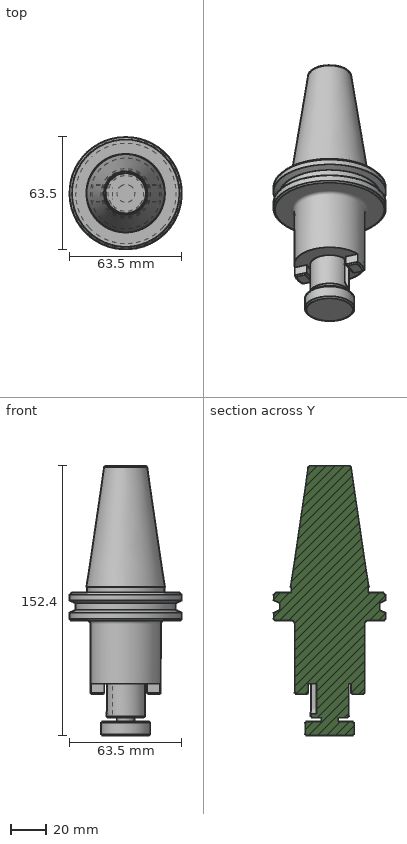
import cadquery as cq

total_height = 152.4

taper_length = 68.5
gauge_radius = 22.3
taper_ratio = 7 / 24
taper_tip_radius = gauge_radius - taper_length * taper_ratio / 2
taper_tip_chamfer = 0.9
gauge_height = total_height - taper_length
relief_radius = 22.0
relief_step = 0.3

flange_diameter = 63.5
flange_radius = flange_diameter / 2
flange_top = 81.0
flange_bottom = 64.9
flange_top_chamfer = 1.5
flange_bottom_chamfer = 0.9
groove_floor_radius = 28.3
groove_floor_top = 74.7
groove_floor_bottom = 71.0
groove_flank_height = 1.7

body_radius = 20.0
body_bottom = 29.3
body_fillet = 1.8
pilot_radius = 11.0
pilot_bottom = 10.0
pilot_chamfer = 0.9
screw_radius = 5.0
head_radius = 14.0
head_height = 8.1
head_chamfer = 0.9

tenon_width = 9.9
tenon_bottom = 23.3
tenon_inner_radius = 12.0
tenon_chamfer = 0.9
tenon_side_chamfer = 0.5

keyway_width = 6.1
keyway_bottom = 12.5
keyway_depth = 3.5


def revolve_about_z(profile):
    """Turn a closed half profile, drawn in the YZ plane, around the Z axis."""
    return profile.revolve(360, (0, 0, 0), (0, 1, 0))


def make_pilot_and_screw():
    """Screw head, neck and pilot, ending at the body face."""
    profile = (
        cq.Workplane("YZ")
        .lineTo(head_radius - head_chamfer, 0)
        .lineTo(head_radius, head_chamfer)
        .lineTo(head_radius, head_height - head_chamfer)
        .lineTo(head_radius - head_chamfer, head_height)
        .lineTo(screw_radius, head_height)
        .lineTo(screw_radius, pilot_bottom)
        .lineTo(pilot_radius - pilot_chamfer, pilot_bottom)
        .lineTo(pilot_radius, pilot_bottom + pilot_chamfer)
        .lineTo(pilot_radius, body_bottom)
        .lineTo(0, body_bottom)
        .close()
    )
    return revolve_about_z(profile)


def make_shank():
    """Taper, flange and body, with the body carried down to the tenon tips."""
    profile = (
        cq.Workplane("YZ")
        .moveTo(0, tenon_bottom)
        .lineTo(body_radius - tenon_chamfer, tenon_bottom)
        .lineTo(body_radius, tenon_bottom + tenon_chamfer)
        .lineTo(body_radius, flange_bottom - body_fillet)
        .radiusArc((body_radius + body_fillet, flange_bottom), body_fillet)
        .lineTo(flange_radius - flange_bottom_chamfer, flange_bottom)
        .lineTo(flange_radius, flange_bottom + flange_bottom_chamfer)
        .lineTo(flange_radius, groove_floor_bottom - groove_flank_height)
        .lineTo(groove_floor_radius, groove_floor_bottom)
        .lineTo(groove_floor_radius, groove_floor_top)
        .lineTo(flange_radius, groove_floor_top + groove_flank_height)
        .lineTo(flange_radius, flange_top - flange_top_chamfer)
        .lineTo(flange_radius - flange_top_chamfer, flange_top)
        .lineTo(relief_radius, flange_top)
        .lineTo(relief_radius, gauge_height - relief_step)
        .lineTo(gauge_radius, gauge_height)
        .lineTo(taper_tip_radius, total_height - taper_tip_chamfer)
        .lineTo(taper_tip_radius - taper_tip_chamfer, total_height)
        .lineTo(0, total_height)
        .close()
    )
    return revolve_about_z(profile)


def make_tenon_block(side):
    """Flat-sided block enclosing the tenon on +X (side = 1) or -X (side = -1)."""
    inner_edge = "<X" if side > 0 else ">X"
    center_x = side * (tenon_inner_radius + body_radius / 2)
    return (
        cq.Workplane("XY", origin=(center_x, 0, tenon_bottom))
        .box(body_radius, tenon_width, body_bottom - tenon_bottom, centered=(True, True, False))
        .faces("<Z").edges("|X").chamfer(tenon_chamfer, tenon_side_chamfer)
        .faces("<Z").edges(inner_edge).chamfer(tenon_chamfer)
    )


def make_tenon_clearance():
    """Material to remove below the body face so that only the two tenons remain."""
    clearance = (
        cq.Workplane("XY", origin=(0, 0, tenon_bottom))
        .circle(flange_radius)
        .extrude(body_bottom - tenon_bottom)
    )
    for side in (-1, 1):
        clearance = clearance.cut(make_tenon_block(side))
    return clearance


def make_keyway():
    """Round-ended pocket in the -X side of the pilot, open up to the body face."""
    end_radius = keyway_width / 2
    arc_center = keyway_bottom + end_radius
    return (
        cq.Workplane("YZ", origin=(-pilot_radius, 0, 0))
        .moveTo(-end_radius, body_bottom)
        .lineTo(-end_radius, arc_center)
        .threePointArc((0, keyway_bottom), (end_radius, arc_center))
        .lineTo(end_radius, body_bottom)
        .close()
        .extrude(keyway_depth)
    )


shank = make_shank().cut(make_tenon_clearance())
pilot = make_pilot_and_screw().cut(make_keyway())
result = shank.union(pilot)